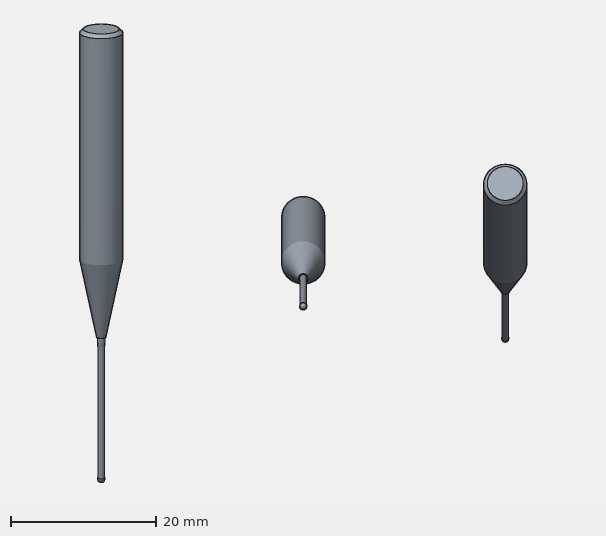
import cadquery as cq

total_length = 65.0
shank_radius = 3.0
shank_chamfer = 0.5
cone_top_z = 32.0

cone_bottom_z = 20.8
cone_bottom_radius = 0.65
collar_radius = 0.5
collar_bottom_z = 20.0
neck_top_z = 19.45
neck_radius = 0.475

head_radius = 0.5
head_top_z = 0.65


def make_holder():
    """Shank, cone and neck, turned about Z down to the top of the cutting head."""
    profile = (
        cq.Workplane("XZ")
        .moveTo(0, head_top_z)
        .lineTo(neck_radius, head_top_z)
        .lineTo(neck_radius, neck_top_z)
        .lineTo(collar_radius, collar_bottom_z)
        .lineTo(collar_radius, cone_bottom_z)
        .lineTo(cone_bottom_radius, cone_bottom_z)
        .lineTo(shank_radius, cone_top_z)
        .lineTo(shank_radius, total_length - shank_chamfer)
        .lineTo(shank_radius - shank_chamfer, total_length)
        .lineTo(0, total_length)
        .close()
    )
    return profile.revolve(360, (0, 0, 0), (0, 1, 0))


def make_cutting_head():
    """Short cylinder that ends in a hemispherical tip."""
    profile = (
        cq.Workplane("XZ")
        .moveTo(0, 0)
        .radiusArc((head_radius, head_radius), -head_radius)
        .lineTo(head_radius, head_top_z)
        .lineTo(0, head_top_z)
        .close()
    )
    return profile.revolve(360, (0, 0, 0), (0, 1, 0))


holder = make_holder()
cutting_head = make_cutting_head()

result = cq.Compound.makeCompound([holder.val(), cutting_head.val()])